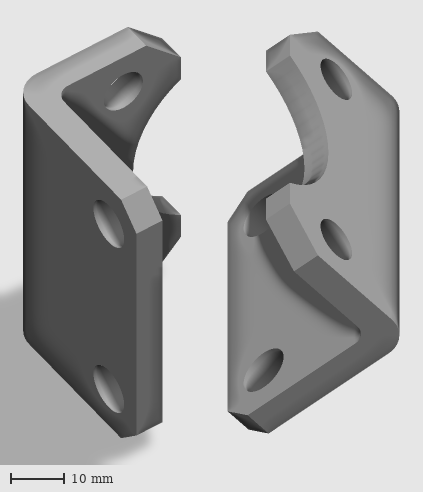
import cadquery as cq

length_x = 41.0
length_y = 35.0
height = 65.0
thickness = 6.0
outer_bend_radius = 6.0
inner_bend_radius = 3.0

foot_chamfer = 5.0
foot_hole_diameter = 10.0
foot_hole_edge_distance = 9.0
foot_hole_spacing = 45.0

flange_chamfer = 8.0
cutout_radius = 21.0
cutout_depth = 11.0
flange_hole_spacing = 46.5
flange_hole_diameter = 9.0

mid_z = height / 2
cutout_center_y = length_y - cutout_depth + cutout_radius
flange_hole_offset = flange_hole_spacing / 2


def make_angle():
    """L section with a rounded bend, outer corner at the origin."""
    section = [
        (0, 0),
        (length_x, 0),
        (length_x, thickness),
        (thickness, thickness),
        (thickness, length_y),
        (0, length_y),
    ]
    angle = cq.Workplane("XY").polyline(section).close().extrude(height)
    inner_corner = cq.NearestToPointSelector((thickness, thickness, mid_z))
    angle = angle.edges("|Z").edges(inner_corner).fillet(inner_bend_radius)
    outer_corner = cq.NearestToPointSelector((0, 0, mid_z))
    return angle.edges("|Z").edges(outer_corner).fillet(outer_bend_radius)


def chamfer_leg_corners(body):
    """Cut the top and bottom corners at the free end of each leg."""
    body = body.faces(">X").edges("|Y").chamfer(foot_chamfer)
    return body.faces(">Y").edges("|X").chamfer(flange_chamfer)


def foot_cylinder(x, z, diameter):
    """Cylinder along Y through the foot leg."""
    return cq.Workplane("XZ").center(x, z).circle(diameter / 2).extrude(-thickness)


def flange_cylinder(y, z, diameter):
    """Cylinder along X through the flange leg."""
    return cq.Workplane("YZ").center(y, z).circle(diameter / 2).extrude(thickness)


def cut_flange(body):
    """Cut the arc and the two holes in the flange leg."""
    body = body.cut(flange_cylinder(cutout_center_y, mid_z, 2 * cutout_radius))
    hole_y = cutout_center_y - flange_hole_offset
    for side in (-1, 1):
        hole_z = mid_z + side * flange_hole_offset
        body = body.cut(flange_cylinder(hole_y, hole_z, flange_hole_diameter))
    return body


def cut_foot_holes(body):
    """Cut the two holes near the free end of the foot leg."""
    hole_x = length_x - foot_hole_edge_distance
    for side in (-1, 1):
        hole_z = mid_z + side * foot_hole_spacing / 2
        body = body.cut(foot_cylinder(hole_x, hole_z, foot_hole_diameter))
    return body


result = make_angle()
result = chamfer_leg_corners(result)
result = cut_flange(result)
result = cut_foot_holes(result)